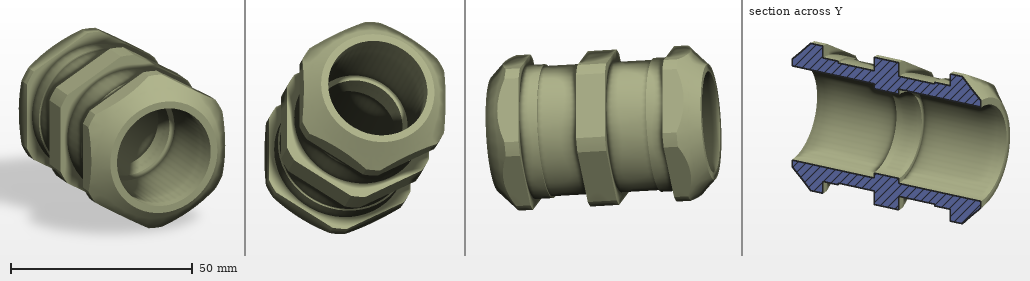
import cadquery as cq

length = 60.3
across_flats = 40.0
across_corners = 44.0

nut_length = 10.0
collar_length = 4.9
middle_hex_length = 8.1

body_diameter = 36.0
collar_diameter = 37.0
nut_face_diameter = 31.95
end_bore_diameter = 28.0
bore_diameter = 25.0

HEX_SIDES = 6


def cylinder(start, size, diameter):
    """Solid cylinder along X beginning at x = start."""
    return cq.Workplane("YZ", origin=(start, 0, 0)).circle(diameter / 2).extrude(size)


def rounded_hex(start, size):
    """Hexagonal bar along X with two corners at +Z and -Z, all corners turned down to a cylinder."""
    bar = (
        cq.Workplane("YZ", origin=(start, 0, 0))
        .polygon(HEX_SIDES, across_flats, circumscribed=True)
        .extrude(size)
    )
    return bar.intersect(cylinder(start, size, across_corners))


def left_nut():
    """Hexagonal end nut whose outer end is turned to a 45 degree cone."""
    cone_length = (across_corners - nut_face_diameter) / 2
    start = -length / 2
    envelope = (
        cq.Workplane("XY")
        .moveTo(start, 0)
        .lineTo(start, nut_face_diameter / 2)
        .lineTo(start + cone_length, across_corners / 2)
        .lineTo(start + nut_length, across_corners / 2)
        .lineTo(start + nut_length, 0)
        .close()
        .revolve(360, (0, 0, 0), (1, 0, 0))
    )
    return rounded_hex(start, nut_length).intersect(envelope)


def left_end():
    """End nut together with the collar behind it."""
    collar = cylinder(-length / 2 + nut_length, collar_length, collar_diameter)
    return left_nut().union(collar)


body_length = length - 2 * nut_length
body = cylinder(-body_length / 2, body_length, body_diameter)
middle_hex = rounded_hex(-middle_hex_length / 2, middle_hex_length)
end = left_end()

end_bore_depth = (length - middle_hex_length) / 2
end_bore = cylinder(-length / 2, end_bore_depth, end_bore_diameter)
through_bore = cylinder(-length / 2, length, bore_diameter)
bore = through_bore.union(end_bore).union(end_bore.mirror("YZ"))

outside = body.union(middle_hex).union(end).union(end.mirror("YZ"))
result = outside.cut(bore)